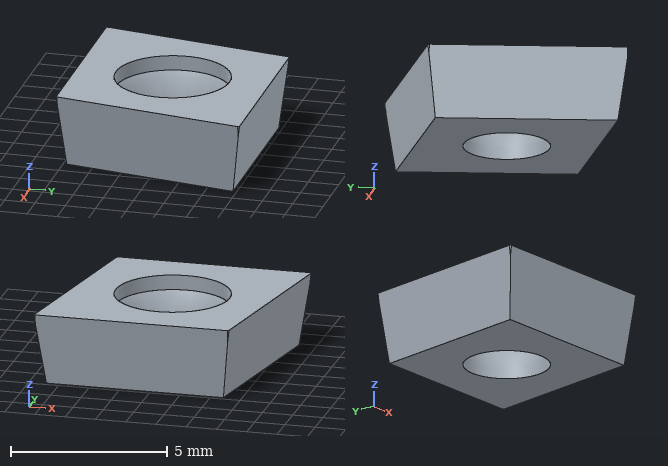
import cadquery as cq
import math

inscribed_diameter = 6.35
thickness = 2.38
acute_angle = math.radians(80)
clearance_angle = 7
nose_radius = 0.045

seat_diameter = 3.75
bore_diameter = 2.8
seat_wall_depth = 0.49
seat_arc_radius = 2.5


def nose_center_points():
    """Corners of the rhombus that joins the centers of the four nose arcs."""
    half_height = inscribed_diameter / 2 - nose_radius
    half_side = half_height / math.sin(acute_angle)
    lean = half_height / math.tan(acute_angle)
    return [
        (-half_side - lean, -half_height),
        (half_side - lean, -half_height),
        (half_side + lean, half_height),
        (-half_side + lean, half_height),
    ]


def insert_body():
    """Tapered body: sharp corners below, opening into conical noses up to the top face."""
    nose_depth = nose_radius / math.tan(math.radians(clearance_angle))
    nose_centers = nose_center_points()
    nose_start = cq.Sketch().polygon(nose_centers + nose_centers[:1])
    nose_plane = cq.Workplane("XY", origin=(0, 0, thickness - nose_depth)).placeSketch(nose_start)
    sharp_part = nose_plane.extrude(nose_depth - thickness, taper=clearance_angle)
    nosed_part = nose_plane.extrude(nose_depth, taper=-clearance_angle)
    return sharp_part.union(nosed_part)


def screw_hole():
    """Straight seat wall, then a convex arc running tangent into the bore."""
    seat_radius = seat_diameter / 2
    bore_radius = bore_diameter / 2
    arc_center_radius = bore_radius + seat_arc_radius
    arc_angle = math.acos((arc_center_radius - seat_radius) / seat_arc_radius)
    seat_top = thickness - seat_wall_depth
    seat_bottom = seat_top - seat_arc_radius * math.sin(arc_angle)
    arc_middle = (
        arc_center_radius - seat_arc_radius * math.cos(arc_angle / 2),
        seat_bottom + seat_arc_radius * math.sin(arc_angle / 2),
    )
    return (
        cq.Workplane("XZ")
        .lineTo(bore_radius, 0)
        .lineTo(bore_radius, seat_bottom)
        .threePointArc(arc_middle, (seat_radius, seat_top))
        .lineTo(seat_radius, thickness)
        .lineTo(0, thickness)
        .close()
        .revolve(360, (0, 0, 0), (0, 1, 0))
    )


result = insert_body().cut(screw_hole())